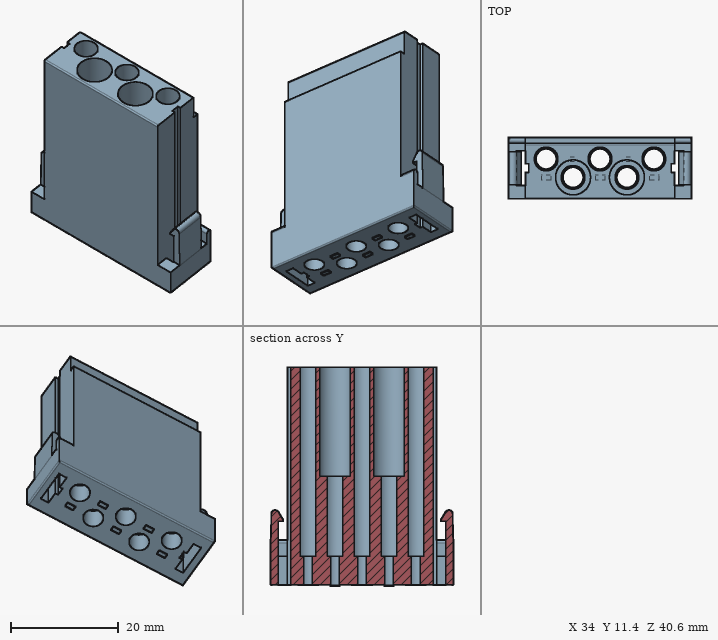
import cadquery as cq
import math

overall_height = 40.6
base_length = 34.0
depth = 11.4
body_length = 27.65
pad_height = 0.2
body_height = overall_height - pad_height
base_height = 5.35
edge_round = 0.3

rear_step_depth = 1.05
rear_step_height = 5.0

groove_width = 1.6
groove_depth = 0.6

rib_thickness = rear_step_depth
rib_top = 8.35

latch_width = 6.17
latch_thickness = 1.5
latch_taper = 0.15
latch_top = 13.93
latch_tip_radius = 0.75
hook_bottom = 11.8
hook_reach = 0.95
hook_edge = 0.2
latch_slot_width = 6.4

hole_pitch = 5.0
row_offset = 1.7
through_diameter = 3.75
contact_bore_diameter = 4.4
wide_bore_diameter = 6.5
contact_bore_bottom = base_height
wide_bore_bottom = body_height / 2
hole_count = 5

pad_length = 1.75
pad_width = 0.9

base_end = base_length / 2
body_end = body_length / 2
rear_face = depth / 2
latch_inner = base_end - latch_thickness


def make_block():
    """Wide base with the narrower body on it, rear step and rounded edges."""
    base = cq.Workplane("XY").box(base_length, depth, base_height, centered=(True, True, False))
    body = cq.Workplane("XY").box(body_length, depth, body_height, centered=(True, True, False))
    block = base.union(body)
    step = cq.Workplane("XY").box(body_length, rear_step_depth, rear_step_height, centered=False)
    step = step.translate((-body_end, rear_face - rear_step_depth, body_height - rear_step_height))
    block = block.cut(step)
    block = block.faces("<Z").edges().fillet(edge_round)
    return block.faces(">Z").edges("|X").fillet(edge_round)


def make_rib():
    """Rear rib on the +X end, with a full round along its top."""
    round_radius = rib_thickness / 2
    return (
        cq.Workplane("YZ", origin=(body_end, 0, 0))
        .moveTo(rear_face, base_height)
        .lineTo(rear_face, rib_top - round_radius)
        .threePointArc(
            (rear_face - round_radius, rib_top),
            (rear_face - rib_thickness, rib_top - round_radius),
        )
        .lineTo(rear_face - rib_thickness, base_height)
        .close()
        .extrude(base_end - body_end)
    )


def make_latch():
    """Snap latch on the +X end, with its hook pointing toward the body."""
    outer = base_end - latch_taper
    tip_x = outer - latch_tip_radius
    tip_z = latch_top - latch_tip_radius
    hook_x = latch_inner - hook_reach
    hook_z = hook_bottom + hook_edge

    to_hook_x = hook_x - tip_x
    to_hook_z = hook_z - tip_z
    hook_distance = math.hypot(to_hook_x, to_hook_z)
    tangent_angle = math.atan2(to_hook_z, to_hook_x) - math.acos(latch_tip_radius / hook_distance)

    def tip_point(angle):
        return (
            tip_x + latch_tip_radius * math.cos(angle),
            tip_z + latch_tip_radius * math.sin(angle),
        )

    return (
        cq.Workplane("XZ")
        .moveTo(base_end, base_height)
        .lineTo(outer, tip_z)
        .threePointArc(tip_point(math.pi / 2), tip_point(tangent_angle))
        .lineTo(hook_x, hook_z)
        .lineTo(hook_x, hook_bottom)
        .lineTo(latch_inner, hook_bottom)
        .lineTo(latch_inner, base_height)
        .close()
        .extrude(latch_width / 2, both=True)
    )


def make_end_cut():
    """Guide groove over the full height and latch slot through the base, on the +X end."""
    centered = (False, True, False)
    groove = cq.Workplane("XY").box(groove_depth, groove_width, body_height, centered=centered)
    groove = groove.translate((body_end - groove_depth, 0, 0))
    slot = cq.Workplane("XY").box(latch_inner - body_end, latch_slot_width, base_height, centered=centered)
    slot = slot.translate((body_end, 0, 0))
    return groove.union(slot)


def make_bore(x, y, diameter, bottom):
    """Round bore from the given level up to the top face."""
    return cq.Workplane("XY", origin=(x, y, bottom)).circle(diameter / 2).extrude(body_height - bottom)


def make_number_pad(x, y):
    """Raised pad under the base."""
    pad = cq.Workplane("XY").box(pad_length, pad_width, pad_height, centered=(True, True, False))
    return pad.translate((x, y, -pad_height))


part = make_block()
for feature in (make_rib(), make_latch()):
    part = part.union(feature).union(feature.mirror("YZ"))
end_cut = make_end_cut()
part = part.cut(end_cut).cut(end_cut.mirror("YZ"))

for index in range(hole_count):
    in_front_row = index % 2 == 1
    hole_x = (index - (hole_count - 1) / 2) * hole_pitch
    hole_y = -row_offset if in_front_row else row_offset
    part = part.cut(make_bore(hole_x, hole_y, through_diameter, 0))
    part = part.cut(make_bore(hole_x, hole_y, contact_bore_diameter, contact_bore_bottom))
    if in_front_row:
        part = part.cut(make_bore(hole_x, hole_y, wide_bore_diameter, wide_bore_bottom))
    part = part.union(make_number_pad(hole_x, -hole_y))

result = part